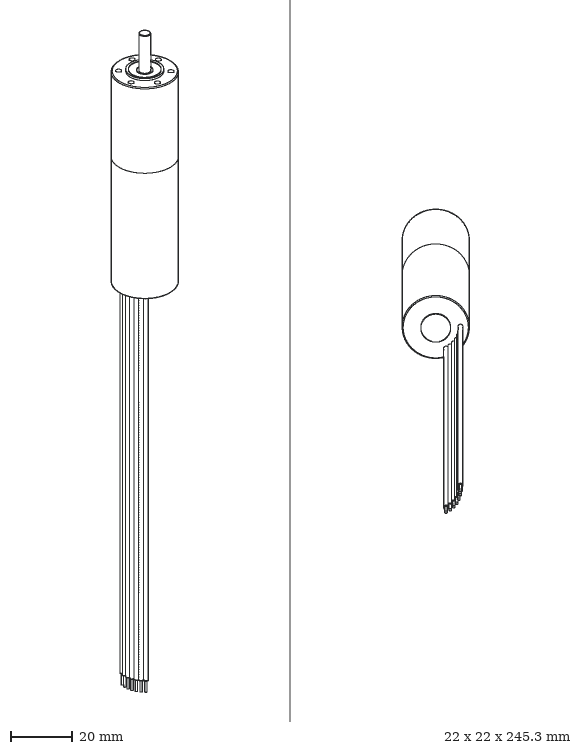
import cadquery as cq
import math

TOTAL_HEIGHT = 245.3
BODY_DIAMETER = 22.0
EDGE_CHAMFER = 0.37

SHAFT_LENGTH = 13.7
FLANGE_HEIGHT = 0.7
COVER_THICKNESS = 7.4
GEARBOX_LENGTH = 25.0
MOTOR_LENGTH = 47.8

flange_top = TOTAL_HEIGHT - SHAFT_LENGTH
cover_top = flange_top - FLANGE_HEIGHT
gearbox_top = cover_top - COVER_THICKNESS
motor_top = gearbox_top - GEARBOX_LENGTH
motor_bottom = motor_top - MOTOR_LENGTH

SHAFT_DIAMETER = 4.0
SHAFT_CHAMFER = 0.2
FLANGE_DIAMETER = 12.5
FACE_RECESS_DIAMETER = 10.8
FACE_RECESS_DEPTH = 0.2
SHAFT_RECESS_DIAMETER = 5.5
SHAFT_RECESS_DEPTH = 0.5

SCREW_COUNT = 6
SCREW_HOLE_DIAMETER = 2.0
SCREW_HOLE_DEPTH = 4.0
SCREW_CIRCLE_RADIUS = 8.5
FIRST_SCREW_ANGLE = 90

REAR_BOSS_DIAMETER = 9.8
REAR_BOSS_HEIGHT = 0.7

WIRE_COUNT = 7
WIRE_DIAMETER = 1.6
WIRE_ARC_RADIUS = 8.0
CORE_DIAMETER = 0.85
CORE_LENGTH = 4.5

wire_pitch_angle = 2 * math.degrees(math.asin(WIRE_DIAMETER / 2 / WIRE_ARC_RADIUS))
first_wire_angle = -wire_pitch_angle * (WIRE_COUNT - 1) / 2


def cylinder(diameter, bottom, top):
    """Cylinder on the Z axis between two levels."""
    return cq.Workplane("XY").workplane(offset=bottom).circle(diameter / 2).extrude(top - bottom)


def make_screw_holes():
    """Ring of blind holes sunk into the front of the cover."""
    return (
        cq.Workplane("XY")
        .workplane(offset=cover_top)
        .polarArray(SCREW_CIRCLE_RADIUS, FIRST_SCREW_ANGLE, 360, SCREW_COUNT)
        .circle(SCREW_HOLE_DIAMETER / 2)
        .extrude(-SCREW_HOLE_DEPTH)
    )


def make_gearhead():
    """Gearbox with its front cover, centring flange and output shaft."""
    gearbox = cylinder(BODY_DIAMETER, motor_top, gearbox_top)
    cover = cylinder(BODY_DIAMETER, gearbox_top, cover_top).faces(">Z").chamfer(EDGE_CHAMFER)
    flange = cylinder(FLANGE_DIAMETER, cover_top, flange_top)
    face_recess = cylinder(FACE_RECESS_DIAMETER, flange_top - FACE_RECESS_DEPTH, flange_top)
    shaft_recess = cylinder(SHAFT_RECESS_DIAMETER, flange_top - SHAFT_RECESS_DEPTH, flange_top)
    shaft = cylinder(SHAFT_DIAMETER, gearbox_top, TOTAL_HEIGHT).faces(">Z").chamfer(SHAFT_CHAMFER)

    front = cover.union(flange).cut(face_recess).cut(shaft_recess).cut(make_screw_holes())
    return front.union(shaft).union(gearbox, clean=False)


def make_motor():
    """Motor can with a rear boss."""
    can = cylinder(BODY_DIAMETER, motor_bottom, motor_top).faces("<Z").chamfer(EDGE_CHAMFER)
    boss = cylinder(REAR_BOSS_DIAMETER, motor_bottom - REAR_BOSS_HEIGHT, motor_bottom)
    return can.union(boss)


def make_wire(angle):
    """Insulated wire with a bare core at its end, at an angle from -Y about the motor axis."""
    insulation = cylinder(WIRE_DIAMETER, CORE_LENGTH, motor_bottom)
    core = cylinder(CORE_DIAMETER, 0, CORE_LENGTH)
    wire = insulation.union(core).translate((0, -WIRE_ARC_RADIUS, 0))
    return wire.rotate((0, 0, 0), (0, 0, 1), angle)


gearhead = make_gearhead()
motor = make_motor()
wires = []
for index in range(WIRE_COUNT):
    wires.append(make_wire(first_wire_angle + index * wire_pitch_angle))

result = cq.Compound.makeCompound([gearhead.val(), motor.val(), *[wire.val() for wire in wires]])